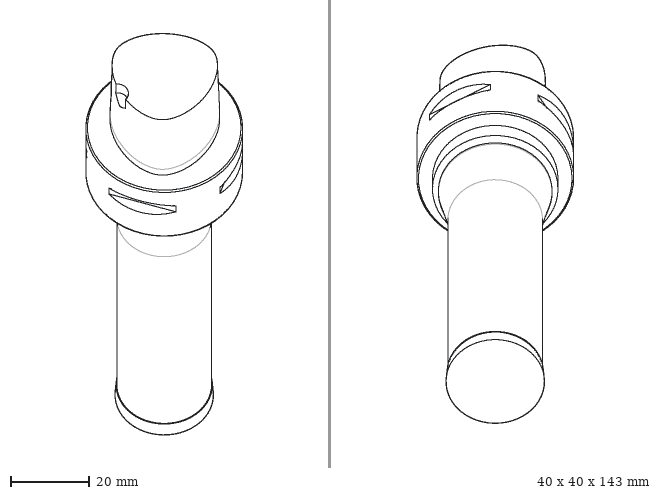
import cadquery as cq
import math

LENGTH = 143.0

TIP_EDGE_Z = 1.1
TIP_TOP_Z = 5.6
NECK_BOTTOM_Z = 79.2
NECK_TOP_Z = 92.5
COLLAR_CHAMFER_Z = 93.1
COLLAR_BOTTOM_Z = 94.2
FLANGE_BOTTOM_Z = 99.1
FLANGE_TOP_Z = 119.3
TAPER_BOTTOM_Z = 121.8

FLANGE_R = 40.0 / 2
COLLAR_R = 32.0 / 2
NECK_TOP_R = 29.0 / 2
SHANK_R = 24.2 / 2
TIP_EDGE_R = 12.6
TIP_TOP_R = 12.3
FLANGE_CHAMFER = 0.5
NECK_SAG = 0.1

POLYGON_D = 28.0
POLYGON_ECCENTRICITY = 0.9
TAPER_RATIO = 1 / 20
POLYGON_POINTS = 48

NOTCH_R = 2.9
NOTCH_CENTER_Y = -13.5
NOTCH_SHOULDER_Z = 139.1
DRILL_POINT_ANGLE = 90.0

SLOT_COUNT = 4
SLOT_Z = 111.3
SLOT_FLOOR_R = 17.9
SLOT_FLOOR_WIDTH = 2.6
SLOT_FLANK_ANGLE = 30.0
SLOT_OVERCUT = 1.5


def polygon_wire(diameter, z):
    """Closed three-lobed curve with one lobe pointing along +Y."""
    e = POLYGON_ECCENTRICITY
    points = []
    for i in range(POLYGON_POINTS):
        t = 2 * math.pi * i / POLYGON_POINTS
        x = diameter / 2 * math.sin(t) + 2 * e * math.sin(2 * t) + e * math.sin(4 * t)
        y = -diameter / 2 * math.cos(t) + 2 * e * math.cos(2 * t) - e * math.cos(4 * t)
        points.append(cq.Vector(x, y, z))
    return cq.Wire.assembleEdges([cq.Edge.makeSpline(points, periodic=True)])


def make_coupling():
    """Straight polygon base below a tapered polygon, as one solid."""
    top_diameter = POLYGON_D - (LENGTH - TAPER_BOTTOM_Z) * TAPER_RATIO
    foot = polygon_wire(POLYGON_D, FLANGE_TOP_Z)
    middle = polygon_wire(POLYGON_D, TAPER_BOTTOM_Z)
    top = polygon_wire(top_diameter, LENGTH)
    return cq.Workplane(cq.Solid.makeLoft([foot, middle, top], True))


def make_revolved_body():
    """Shank, flared neck, collar and flange turned about Z."""
    neck_middle = (
        (SHANK_R + NECK_TOP_R) / 2 - NECK_SAG,
        (NECK_BOTTOM_Z + NECK_TOP_Z) / 2,
    )
    return (
        cq.Workplane("XZ")
        .moveTo(0, TIP_TOP_Z)
        .lineTo(SHANK_R, TIP_TOP_Z)
        .lineTo(SHANK_R, NECK_BOTTOM_Z)
        .threePointArc(neck_middle, (NECK_TOP_R, NECK_TOP_Z))
        .lineTo(NECK_TOP_R, COLLAR_CHAMFER_Z)
        .lineTo(COLLAR_R, COLLAR_BOTTOM_Z)
        .lineTo(COLLAR_R, FLANGE_BOTTOM_Z)
        .lineTo(FLANGE_R - FLANGE_CHAMFER, FLANGE_BOTTOM_Z)
        .lineTo(FLANGE_R, FLANGE_BOTTOM_Z + FLANGE_CHAMFER)
        .lineTo(FLANGE_R, FLANGE_TOP_Z - FLANGE_CHAMFER)
        .lineTo(FLANGE_R - FLANGE_CHAMFER, FLANGE_TOP_Z)
        .lineTo(0, FLANGE_TOP_Z)
        .close()
        .revolve(360, (0, 0), (0, 1))
    )


def make_notch_cutter():
    """Drill-shaped cutter: a cylinder with a conical point."""
    point_depth = NOTCH_R / math.tan(math.radians(DRILL_POINT_ANGLE / 2))
    return (
        cq.Workplane("XZ")
        .moveTo(0, NOTCH_SHOULDER_Z - point_depth)
        .lineTo(NOTCH_R, NOTCH_SHOULDER_Z)
        .lineTo(NOTCH_R, LENGTH)
        .lineTo(0, LENGTH)
        .close()
        .revolve(360, (0, 0), (0, 1))
        .translate((0, NOTCH_CENTER_Y, 0))
    )


def make_slot_cutter(angle):
    """Straight flat-floored slot with flared flanks, facing the given direction."""
    mouth_r = FLANGE_R + SLOT_OVERCUT
    flare = (mouth_r - SLOT_FLOOR_R) * math.tan(math.radians(SLOT_FLANK_ANGLE))
    floor_half = SLOT_FLOOR_WIDTH / 2
    mouth_half = floor_half + flare
    return (
        cq.Workplane("XZ")
        .polyline([
            (SLOT_FLOOR_R, SLOT_Z - floor_half),
            (mouth_r, SLOT_Z - mouth_half),
            (mouth_r, SLOT_Z + mouth_half),
            (SLOT_FLOOR_R, SLOT_Z + floor_half),
        ])
        .close()
        .extrude(FLANGE_R, both=True)
        .rotate((0, 0, 0), (0, 0, 1), angle)
    )


def make_holder():
    """Tool holder: shank, flange and polygon coupling."""
    body = make_revolved_body().union(make_coupling()).cut(make_notch_cutter())
    slot_step = 360 / SLOT_COUNT
    for i in range(SLOT_COUNT):
        body = body.cut(make_slot_cutter((i + 0.5) * slot_step))
    return body


def make_tip():
    """Cutting tip: slightly flared ring with a shallow domed end."""
    dome_r = (TIP_EDGE_R**2 + TIP_EDGE_Z**2) / (2 * TIP_EDGE_Z)
    middle_r = TIP_EDGE_R / 2
    dome_middle = (middle_r, dome_r - math.sqrt(dome_r**2 - middle_r**2))
    return (
        cq.Workplane("XZ")
        .moveTo(0, 0)
        .threePointArc(dome_middle, (TIP_EDGE_R, TIP_EDGE_Z))
        .lineTo(TIP_TOP_R, TIP_TOP_Z)
        .lineTo(0, TIP_TOP_Z)
        .close()
        .revolve(360, (0, 0), (0, 1))
    )


holder = make_holder()
tip = make_tip()
result = cq.Compound.makeCompound([holder.val(), tip.val()])